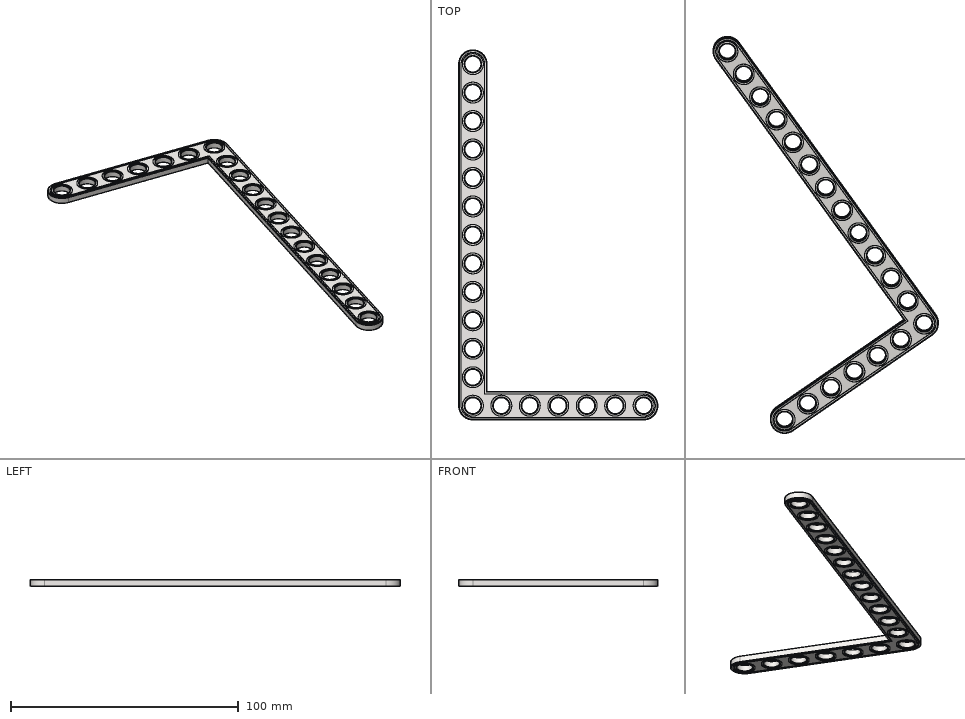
import cadquery as cq
import math

pitch = 12.5
holes_along_x = 7
holes_along_y = 13
thickness = pitch / 4
hole_diameter = 7.0
ring_diameter = 9.2
panel_depth = 0.2
edge_chamfer = 0.3

end_radius = pitch / 2
arm_x = (holes_along_x - 1) * pitch
arm_y = (holes_along_y - 1) * pitch
border_width = (ring_diameter - hole_diameter) / 2
hole_centres = [(i * pitch, 0) for i in range(holes_along_x)]
hole_centres += [(0, j * pitch) for j in range(1, holes_along_y)]


def l_outline(inset):
    """Closed L-shaped outline with round arm ends, moved inward by the inset."""
    r = end_radius - inset
    diagonal = r * math.sqrt(0.5)
    return (
        cq.Workplane("XY")
        .moveTo(0, -r)
        .lineTo(arm_x, -r)
        .threePointArc((arm_x + r, 0), (arm_x, r))
        .lineTo(r, r)
        .lineTo(r, arm_y)
        .threePointArc((0, arm_y + r), (-r, arm_y))
        .lineTo(-r, 0)
        .threePointArc((-diagonal, -diagonal), (0, -r))
        .close()
    )


def hole_cylinders(diameter, height):
    """One cylinder standing on Z = 0 at every hole centre."""
    return cq.Workplane("XY").pushPoints(hole_centres).circle(diameter / 2).extrude(height)


def drilled_plate():
    """L-shaped plate with its holes, chamfered along every edge of both faces."""
    plate = l_outline(0).extrude(thickness)
    plate = plate.cut(hole_cylinders(hole_diameter, thickness))
    return plate.faces("<Z or >Z").edges().chamfer(edge_chamfer)


def panel_cutter():
    """Material sunk into one face: the area inside the border minus the hole rings."""
    rings = hole_cylinders(ring_diameter, panel_depth)
    return l_outline(border_width).extrude(panel_depth).cut(rings)


bottom_panel = panel_cutter()
top_panel = bottom_panel.translate((0, 0, thickness - panel_depth))

result = drilled_plate().cut(bottom_panel).cut(top_panel)